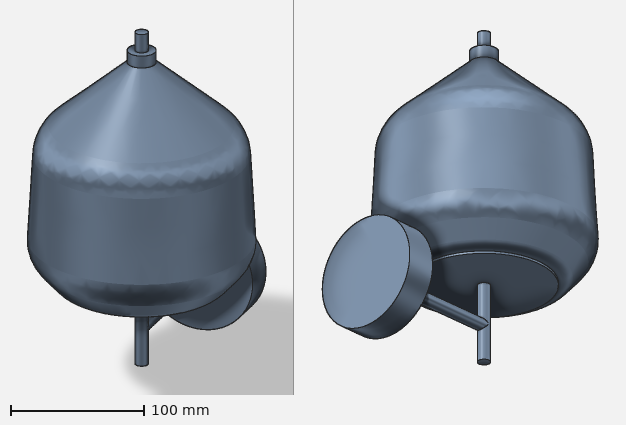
import cadquery as cq


plate_radius = 45.0
plate_thickness = 25.0
plate_back_y = 130.0
rod_radius = 5.05
rod_bottom_z = 15.0
rod_top_z = 288.7
plate_front_y = plate_back_y - plate_thickness
arm_z = plate_radius

shade_bottom_z = 80.8
shade_bottom_radius = 63.5
belly_z = 106.8
belly_radius = 86.5
shoulder_z = 202.5
shoulder_radius = 81.0
shade_top_z = 263.8
bottom_rounding = 12.0
belly_rounding = 29.0
shoulder_rounding = 34.5

disc_radius = 56.0
disc_depth = 2.0

collar_radius = 11.0
collar_height = 9.8


def make_wall_mount():
    """Plate on the wall, with an arm that carries the upright rod."""
    plate = (
        cq.Workplane("XZ", origin=(0, plate_back_y, arm_z))
        .circle(plate_radius)
        .extrude(plate_thickness)
    )
    arm = (
        cq.Workplane("XZ", origin=(0, plate_front_y, arm_z))
        .circle(rod_radius)
        .extrude(plate_front_y)
    )
    rod = (
        cq.Workplane("XY", origin=(0, 0, rod_bottom_z))
        .circle(rod_radius)
        .extrude(rod_top_z - rod_bottom_z)
    )
    return plate.union(arm).union(rod)


def round_shade_edge(shade, corner_z, rounding):
    """Round the circular edge of the shade at one corner of its profile."""
    edge = cq.selectors.NearestToPointSelector((0, 0, corner_z))
    ring = shade.edges("%CIRCLE").edges(edge)
    return ring.fillet(rounding)


def make_shade():
    """Bell-shaped body of revolution, bored to fit the rod."""
    shade = (
        cq.Workplane("XZ")
        .moveTo(0, shade_bottom_z)
        .lineTo(shade_bottom_radius, shade_bottom_z)
        .lineTo(belly_radius, belly_z)
        .lineTo(shoulder_radius, shoulder_z)
        .lineTo(collar_radius, shade_top_z)
        .lineTo(0, shade_top_z)
        .close()
        .revolve(360, (0, 0, 0), (0, 1, 0))
    )
    shade = round_shade_edge(shade, shoulder_z, shoulder_rounding)
    shade = round_shade_edge(shade, belly_z, belly_rounding)
    shade = round_shade_edge(shade, shade_bottom_z, bottom_rounding)
    disc = (
        cq.Workplane("XY", origin=(0, 0, shade_bottom_z))
        .circle(disc_radius)
        .extrude(-disc_depth)
    )
    rod_bore = (
        cq.Workplane("XY", origin=(0, 0, shade_bottom_z - disc_depth))
        .circle(rod_radius)
        .extrude(shade_top_z - shade_bottom_z + disc_depth)
    )
    return shade.union(disc).cut(rod_bore)


def make_collar():
    """Ring around the rod, resting on the top of the shade."""
    return (
        cq.Workplane("XY", origin=(0, 0, shade_top_z))
        .circle(collar_radius)
        .circle(rod_radius)
        .extrude(collar_height)
    )


wall_mount = make_wall_mount()
shade = make_shade()
collar = make_collar()

result = cq.Compound.makeCompound([wall_mount.val(), shade.val(), collar.val()])